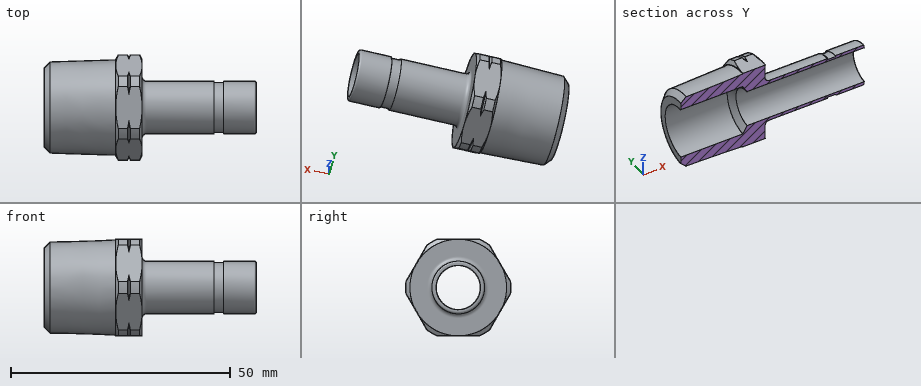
import cadquery as cq
import math

total_length = 48.3

thread_length = 16.3
nose_chamfer = 1.4
nose_radius = 9.0
taper_per_side = 1 / 32

hex_side_count = 6
hex_length = 6.0
hex_across_flats = 22.0
hex_corner_radius = 12.0
hex_face_radius = 11.0
hex_groove_depth = 0.6
hex_bevel_angle = 30.0

stem_radius = 6.0
stem_root_fillet = 1.0
stem_end_fillet = 0.5
stem_groove_start = 38.65
stem_groove_end = 40.8
stem_groove_depth = 0.3
stem_groove_start_fillet = 0.15
stem_groove_lip_fillet = 0.25

wide_bore_radius = 7.0
narrow_bore_radius = 5.0
wide_bore_depth = thread_length
bore_cone_angle = 120.0

hex_start = thread_length
hex_end = hex_start + hex_length


def revolve_about_x(profile):
    """Close a half profile along the X axis and turn it into a solid."""
    return profile.close().revolve(360, (0, 0, 0), (1, 0, 0))


def make_thread():
    """Chamfered nose followed by a cone widening toward the hexagon."""
    start_radius = nose_radius + nose_chamfer
    end_radius = start_radius + (thread_length - nose_chamfer) * taper_per_side
    profile = (
        cq.Workplane("XY")
        .lineTo(0, nose_radius)
        .lineTo(nose_chamfer, start_radius)
        .lineTo(thread_length, end_radius)
        .lineTo(thread_length, 0)
    )
    return revolve_about_x(profile)


def make_hexagon():
    """Hexagon with corners toward +/-Y, turned down to bevelled, grooved corners."""
    across_corners = hex_across_flats / math.cos(math.pi / hex_side_count)
    prism = (
        cq.Workplane("YZ", origin=(hex_start, 0, 0))
        .polygon(hex_side_count, across_corners)
        .extrude(hex_length)
    )
    bevel_slope = math.tan(math.radians(hex_bevel_angle))
    bevel_length = (hex_corner_radius - hex_face_radius) * bevel_slope
    groove_half_width = hex_groove_depth * bevel_slope
    hex_middle = hex_start + hex_length / 2
    turned_profile = (
        cq.Workplane("XY")
        .moveTo(hex_start, 0)
        .lineTo(hex_start, hex_face_radius)
        .lineTo(hex_start + bevel_length, hex_corner_radius)
        .lineTo(hex_middle - groove_half_width, hex_corner_radius)
        .lineTo(hex_middle, hex_corner_radius - hex_groove_depth)
        .lineTo(hex_middle + groove_half_width, hex_corner_radius)
        .lineTo(hex_end - bevel_length, hex_corner_radius)
        .lineTo(hex_end, hex_face_radius)
        .lineTo(hex_end, 0)
    )
    return prism.intersect(revolve_about_x(turned_profile))


def make_stem():
    """Round stem with a filleted root, a shallow ring groove and a rounded end."""
    groove_radius = stem_radius - stem_groove_depth
    groove_floor_start = stem_groove_start + stem_groove_start_fillet
    lip_start_radius = stem_radius - stem_groove_lip_fillet
    profile = (
        cq.Workplane("XY")
        .moveTo(hex_end, 0)
        .lineTo(hex_end, stem_radius + stem_root_fillet)
        .radiusArc((hex_end + stem_root_fillet, stem_radius), -stem_root_fillet)
        .lineTo(stem_groove_start, stem_radius)
        .lineTo(stem_groove_start, groove_radius + stem_groove_start_fillet)
        .radiusArc((groove_floor_start, groove_radius), -stem_groove_start_fillet)
        .lineTo(stem_groove_end, groove_radius)
        .lineTo(stem_groove_end, lip_start_radius)
        .radiusArc((stem_groove_end + stem_groove_lip_fillet, stem_radius), stem_groove_lip_fillet)
        .lineTo(total_length - stem_end_fillet, stem_radius)
        .radiusArc((total_length, stem_radius - stem_end_fillet), stem_end_fillet)
        .lineTo(total_length, 0)
    )
    return revolve_about_x(profile)


def make_bore():
    """Wide bore from the threaded end, coned down to a narrow bore through the stem."""
    cone_length = (wide_bore_radius - narrow_bore_radius) / math.tan(math.radians(bore_cone_angle / 2))
    profile = (
        cq.Workplane("XY")
        .lineTo(0, wide_bore_radius)
        .lineTo(wide_bore_depth, wide_bore_radius)
        .lineTo(wide_bore_depth + cone_length, narrow_bore_radius)
        .lineTo(total_length, narrow_bore_radius)
        .lineTo(total_length, 0)
    )
    return revolve_about_x(profile)


result = make_thread().union(make_hexagon()).union(make_stem()).cut(make_bore())